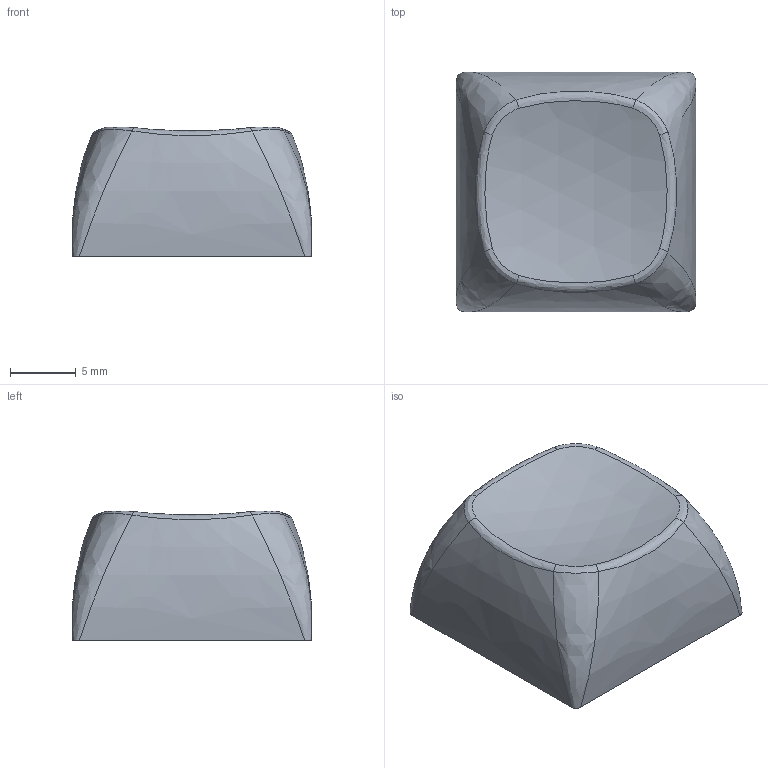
import cadquery as cq

BASE_WIDTH = 18.2
BASE_CORNER_RADIUS = 0.5
LOFT_HEIGHT = 11.5
MID_HEIGHT = LOFT_HEIGHT / 4
TOP_WIDTH = 13.2
SIDE_BOW = 1.7
TOP_CORNER_RADIUS = 5.0
MID_CORNER_RADIUS = (TOP_CORNER_RADIUS - BASE_CORNER_RADIUS) / 3
DISH_RADIUS = 25.0
DISH_FLOOR_HEIGHT = 8.62
RIM_RADIUS = 0.6


def rounded_square(width, corner_radius):
    """Square outline with rounded corners."""
    return cq.Sketch().rect(width, width).vertices().fillet(corner_radius)


def bowed_square(width, bow, corner_radius):
    """Square outline whose four sides are outward arcs, with rounded corners."""
    side = width / 2
    corner = side - bow
    outline = cq.Sketch()
    for x, y in ((-1, 0), (0, 1), (1, 0), (0, -1)):
        start = (corner * (x - y), corner * (y + x))
        middle = (side * x, side * y)
        end = (corner * (x + y), corner * (y - x))
        outline = outline.arc(start, middle, end)
    return outline.assemble().vertices().fillet(corner_radius)


def wire_at_height(sketch, height):
    """Boundary wire of a sketch, lifted to the given height."""
    wire = sketch.reset().faces().val().outerWire()
    return wire.moved(cq.Location(cq.Vector(0, 0, height)))


def make_body():
    """Smooth loft from the square base to the bowed top outline."""
    base = rounded_square(BASE_WIDTH, BASE_CORNER_RADIUS)
    middle = rounded_square(BASE_WIDTH, MID_CORNER_RADIUS)
    top = bowed_square(TOP_WIDTH, SIDE_BOW, TOP_CORNER_RADIUS)
    wires = [
        wire_at_height(base, 0),
        wire_at_height(middle, MID_HEIGHT),
        wire_at_height(top, LOFT_HEIGHT),
    ]
    return cq.Workplane(cq.Solid.makeLoft(wires))


def cut_dish(body):
    """Sink the spherical dish into the top of the body."""
    dish_centre = (0, 0, DISH_FLOOR_HEIGHT + DISH_RADIUS)
    dish = cq.Workplane("XY").sphere(DISH_RADIUS)
    dish = dish.rotate((0, 0, 0), (0, 1, 0), -90).translate(dish_centre)
    return body.cut(dish)


def round_rim(dished):
    """Round the edge where the dish meets the sides."""
    return dished.faces("%SPHERE").edges().fillet(RIM_RADIUS)


result = round_rim(cut_dish(make_body()))